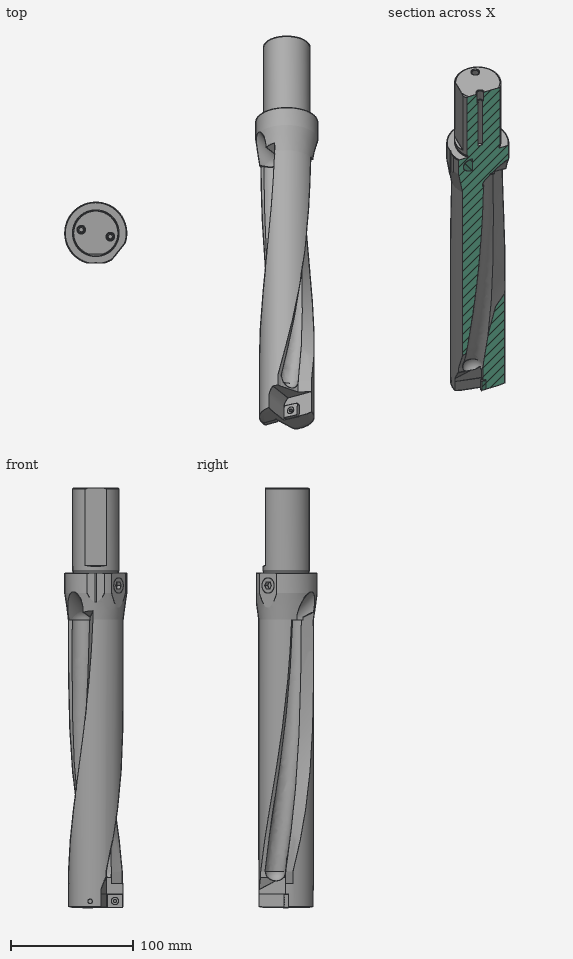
import cadquery as cq
import math

TOTAL_LENGTH = 343.38
SHANK_LENGTH = 69.5
SHANK_RADIUS = 19.05
SHANK_CHAMFER = 1.0
COLLAR_RADIUS = 25.4
COLLAR_LENGTH = 16.6
COLLAR_CHAMFER = 0.5
CONE_LENGTH = 21.8
BODY_RADIUS = 22.4
TIP_RIM_WIDTH = 4.0
TIP_RIM_RISE = 0.8
TIP_CLEARANCE = 0.6
RELIEF_LENGTH = 1.6
RELIEF_DEPTH = 0.5

COLLAR_TOP = TOTAL_LENGTH - SHANK_LENGTH
CONE_TOP = COLLAR_TOP - COLLAR_LENGTH
CONE_BASE = CONE_TOP - CONE_LENGTH
OUTSIDE = 2 * COLLAR_RADIUS

SHANK_FLAT_OFFSET = 16.9
SHANK_FLAT_LENGTH = 63.2
SHANK_FLAT_RAMP = 1.0

INDEX_FLAT_OFFSET = 24.4
INDEX_GROOVE_WIDTH = 1.2
INDEX_GROOVE_DEPTH = 0.5
INDEX_GROOVE_BOTTOM = CONE_TOP - CONE_LENGTH / 3
PORT_FLAT_OFFSET = 23.75
PORT_FLAT_ANGLE = 51.5
PORT_CENTER_DROP = 10.2
PLUG_RADIUS = 6.3
PLUG_DEPTH = 8.0
PLUG_SOCKET_SIZE = 6.0
PLUG_SOCKET_DEPTH = 4.0

COOLANT_PITCH_RADIUS = 12.2
COOLANT_ANGLE = 166.5
COOLANT_MOUTH_RADIUS = 3.5
COOLANT_THREAD_RADIUS = 2.8
COOLANT_THREAD_DEPTH = 10.0
COOLANT_BORE_RADIUS = 1.8
COOLANT_BORE_DEPTH = 60.0

GULLET_START = (-19.2, -2.0)
GULLET_DEEPEST = (-6.9, 0.1)
GULLET_END = (-5.0, -11.7)
GULLET_CENTER = (-11.8, -6.9)
GULLET_RADIUS = 8.4
LIP_POINT = (-26.2, 1.1)
HEEL_POINT = (-1.4, -26.0)
FLUTE_CORNER = (-26.2, -26.0)
FLUTE_BOTTOM = 30.0
FLUTE_SECTIONS = 9
FLUTE_PHASES = (0, 190)
TWIST_RATE = 0.095
TWIST_GROWTH = 0.00142
RUNOUT_TILT = 50
RUNOUT_DIRECTION = 234
RUNOUT_RADIUS = 9.6
WEDGE_START_Y = -9.0
WEDGE_RISE = 9.0

SEAT_DEPTH = 2.0
SEAT_TOP = 11.8
CHIP_SPACE_TOP = 20.0
INNER_WALL_X = 4.0
INNER_WALL_TOP_X = 0.0
INNER_WALL_BULGE = 1.0
OUTER_WALL_RIM_X = 4.1
OUTER_WALL_X = 8.7
OUTER_CHIP_FLOOR = -0.5
OUTER_CHIP_SPACE_TOP = 25.0
OUTER_SLOPE_BASE = 15.0
OUTER_SLOPE_TOP_X = 8.0

INSERT_WIDTH = 12.4
INSERT_HEIGHT = 10.8
INSERT_THICKNESS = 3.7
INSERT_CORNER = 0.8
INNER_INSERT_X = -4.6
OUTER_INSERT_X = 15.7
OUTER_INSERT_OVERHANG = 0.1
INNER_INSERT_TILT = 3
SCREW_HEAD_RADIUS = 3.0
SCREW_HEAD_HEIGHT = 2.2
SCREW_RADIUS = 1.8
SCREW_LENGTH = 11.0
SCREW_SOCKET_SIZE = 2.4
SCREW_SOCKET_DEPTH = 1.2

OUTER_INSERT_Z = TIP_CLEARANCE - OUTER_INSERT_OVERHANG + INSERT_HEIGHT / 2
TILT = math.radians(INNER_INSERT_TILT)
CORNER_REACH_X = INSERT_WIDTH / 2 - INSERT_CORNER
CORNER_REACH_Z = INSERT_HEIGHT / 2 - INSERT_CORNER
INNER_INSERT_Z = CORNER_REACH_X * math.sin(TILT) + CORNER_REACH_Z * math.cos(TILT) + INSERT_CORNER


def cylinder(radius, length, base, direction=(0, 0, 1)):
    return cq.Workplane(cq.Solid.makeCylinder(radius, length, cq.Vector(*base), cq.Vector(*direction)))


def ball(radius, center):
    return cq.Workplane(cq.Solid.makeSphere(radius, angleDegrees1=-90)).translate(center)


def box(x_range, y_range, z_range):
    size = [high - low for low, high in (x_range, y_range, z_range)]
    corner = cq.Vector(x_range[0], y_range[0], z_range[0])
    return cq.Workplane(cq.Solid.makeBox(*size, corner))


def turned_blank():
    """Shank, collar, cone and body as one turned profile."""
    relief_radius = SHANK_RADIUS - RELIEF_DEPTH
    profile = [
        (0, TIP_CLEARANCE),
        (BODY_RADIUS - TIP_RIM_WIDTH, TIP_CLEARANCE),
        (BODY_RADIUS, TIP_CLEARANCE + TIP_RIM_RISE),
        (BODY_RADIUS, CONE_BASE),
        (COLLAR_RADIUS, CONE_TOP),
        (COLLAR_RADIUS, COLLAR_TOP - COLLAR_CHAMFER),
        (COLLAR_RADIUS - COLLAR_CHAMFER, COLLAR_TOP),
        (relief_radius, COLLAR_TOP),
        (relief_radius, COLLAR_TOP + RELIEF_LENGTH),
        (SHANK_RADIUS, COLLAR_TOP + RELIEF_LENGTH),
        (SHANK_RADIUS, TOTAL_LENGTH - SHANK_CHAMFER),
        (SHANK_RADIUS - SHANK_CHAMFER, TOTAL_LENGTH),
        (0, TOTAL_LENGTH),
    ]
    return cq.Workplane("XZ").polyline(profile).close().revolve(360, (0, 0, 0), (0, 1, 0))


def shank_flat():
    """Flat on the -Y side of the shank, ending in a short ramp."""
    flat_bottom = TOTAL_LENGTH - SHANK_FLAT_LENGTH
    profile = [
        (-SHANK_FLAT_OFFSET, TOTAL_LENGTH),
        (-SHANK_FLAT_OFFSET, flat_bottom),
        (-SHANK_RADIUS, flat_bottom - SHANK_FLAT_RAMP),
        (-SHANK_RADIUS, TOTAL_LENGTH),
    ]
    return cq.Workplane("YZ").polyline(profile).close().extrude(SHANK_RADIUS, both=True)


def collar_flat(offset, angle):
    """Flat facing -Y, turned about Z by the angle."""
    cutter = box((-OUTSIDE, OUTSIDE), (-OUTSIDE, -offset), (CONE_BASE, COLLAR_TOP))
    return cutter.rotate((0, 0, 0), (0, 0, 1), angle)


def index_groove():
    half_width = INDEX_GROOVE_WIDTH / 2
    floor = INDEX_GROOVE_DEPTH - INDEX_FLAT_OFFSET
    return box((-half_width, half_width), (-OUTSIDE, floor), (INDEX_GROOVE_BOTTOM, COLLAR_TOP))


def port_plug():
    """Pipe plug that closes the side port, flush with its flat."""
    center_z = COLLAR_TOP - PORT_CENTER_DROP
    plug = cylinder(PLUG_RADIUS, PLUG_DEPTH, (0, -PORT_FLAT_OFFSET, center_z), (0, 1, 0))
    return plug.rotate((0, 0, 0), (0, 0, 1), PORT_FLAT_ANGLE)


def plug_socket():
    center_z = COLLAR_TOP - PORT_CENTER_DROP
    across_corners = PLUG_SOCKET_SIZE / math.cos(math.pi / 6)
    plane = cq.Plane((0, -PORT_FLAT_OFFSET, center_z), (1, 0, 0), (0, 1, 0))
    socket = cq.Workplane(plane).polygon(6, across_corners).extrude(PLUG_SOCKET_DEPTH)
    return socket.rotate((0, 0, 0), (0, 0, 1), PORT_FLAT_ANGLE)


def coolant_inlet(angle):
    """Countersunk, threaded inlet that narrows to a coolant bore."""
    mouth_depth = COOLANT_MOUTH_RADIUS - COOLANT_THREAD_RADIUS
    profile = [
        (0, 0),
        (COOLANT_MOUTH_RADIUS, 0),
        (COOLANT_THREAD_RADIUS, -mouth_depth),
        (COOLANT_THREAD_RADIUS, -COOLANT_THREAD_DEPTH),
        (COOLANT_BORE_RADIUS, -COOLANT_THREAD_DEPTH),
        (COOLANT_BORE_RADIUS, -COOLANT_BORE_DEPTH),
        (0, -COOLANT_BORE_DEPTH),
    ]
    inlet = cq.Workplane("XZ").polyline(profile).close().revolve(360, (0, 0, 0), (0, 1, 0))
    inlet = inlet.translate((COOLANT_PITCH_RADIUS, 0, TOTAL_LENGTH))
    return inlet.rotate((0, 0, 0), (0, 0, 1), angle)


def twist_at(z):
    """Angle the flute has turned, in degrees; its lead tightens towards the tip."""
    run = CONE_BASE - z
    return -(TWIST_RATE * run + TWIST_GROWTH * run**2)


def rotate_point(point, angle, z):
    x, y = point
    turn = math.radians(angle)
    return cq.Vector(x * math.cos(turn) - y * math.sin(turn), x * math.sin(turn) + y * math.cos(turn), z)


def flute_section(z):
    outline = (GULLET_START, GULLET_DEEPEST, GULLET_END, HEEL_POINT, FLUTE_CORNER, LIP_POINT)
    start, deepest, end, heel, corner, lip = [rotate_point(point, twist_at(z), z) for point in outline]
    edges = [
        cq.Edge.makeThreePointArc(start, deepest, end),
        cq.Edge.makeLine(end, heel),
        cq.Edge.makeLine(heel, corner),
        cq.Edge.makeLine(corner, lip),
        cq.Edge.makeLine(lip, start),
    ]
    return cq.Wire.assembleEdges(edges)


def flute():
    """Twisted flute without its ends."""
    step = (CONE_BASE - FLUTE_BOTTOM) / (FLUTE_SECTIONS - 1)
    sections = [flute_section(FLUTE_BOTTOM + step * index) for index in range(FLUTE_SECTIONS)]
    return cq.Workplane(cq.Solid.makeLoft(sections))


def flute_runout():
    """Ball-ended gullet that leans outwards through the collar cone."""
    tilt = math.radians(RUNOUT_TILT)
    heading = math.radians(RUNOUT_DIRECTION)
    direction = (math.sin(tilt) * math.cos(heading), math.sin(tilt) * math.sin(heading), math.cos(tilt))
    bore = cylinder(RUNOUT_RADIUS, OUTSIDE, (*GULLET_CENTER, CONE_BASE), direction)
    bore = bore.union(ball(RUNOUT_RADIUS, cq.Vector(*GULLET_CENTER, CONE_BASE)))
    bore = bore.intersect(box((-OUTSIDE, OUTSIDE), (-OUTSIDE, OUTSIDE), (CONE_BASE, COLLAR_TOP)))
    profile = [
        (WEDGE_START_Y, CONE_BASE),
        (HEEL_POINT[1], CONE_BASE),
        (HEEL_POINT[1], CONE_BASE + WEDGE_RISE),
    ]
    wedge = cq.Workplane("YZ").polyline(profile).close().extrude(-OUTSIDE)
    section = cq.Workplane(cq.Solid.extrudeLinear(flute_section(CONE_BASE), [], cq.Vector(0, 0, CONE_LENGTH)))
    return [bore, wedge.intersect(section)]


def flute_end():
    """Ball end of the gullet, with the shallower chip space that leads to the insert."""
    twist = twist_at(FLUTE_BOTTOM)
    ball_end = ball(GULLET_RADIUS, rotate_point(GULLET_CENTER, twist, FLUTE_BOTTOM))
    outline = (GULLET_START, GULLET_END, HEEL_POINT, FLUTE_CORNER, LIP_POINT)
    chip_space = cq.Workplane("XY", origin=(0, 0, CHIP_SPACE_TOP)).polyline(outline).close()
    chip_space = chip_space.extrude(FLUTE_BOTTOM - CHIP_SPACE_TOP).rotate((0, 0, 0), (0, 0, 1), twist)
    return [ball_end, chip_space]


def inner_pocket():
    """Seat and chip space of the central insert, open to -X and +Y."""
    arc_middle = (
        (INNER_WALL_X + INNER_WALL_TOP_X) / 2 + INNER_WALL_BULGE,
        (SEAT_TOP + CHIP_SPACE_TOP) / 2,
    )
    profile = (
        cq.Workplane("XZ", origin=(0, -SEAT_DEPTH, 0))
        .moveTo(-BODY_RADIUS, 0)
        .lineTo(INNER_WALL_X, 0)
        .lineTo(INNER_WALL_X, SEAT_TOP)
        .threePointArc(arc_middle, (INNER_WALL_TOP_X, CHIP_SPACE_TOP))
        .lineTo(-BODY_RADIUS, CHIP_SPACE_TOP)
        .close()
    )
    return profile.extrude(-OUTSIDE)


def outer_pocket():
    """Seat and chip space of the peripheral insert, open to +X and -Y."""

    def pocket(floor, bottom, top):
        profile = [
            (OUTER_WALL_RIM_X, -BODY_RADIUS),
            (OUTER_WALL_X, floor),
            (BODY_RADIUS, floor),
            (BODY_RADIUS, -BODY_RADIUS),
        ]
        return cq.Workplane("XY", origin=(0, 0, bottom)).polyline(profile).close().extrude(top - bottom)

    slope = [
        (OUTER_WALL_RIM_X, SEAT_TOP),
        (OUTER_WALL_RIM_X, OUTER_SLOPE_BASE),
        (OUTER_SLOPE_TOP_X, OUTER_CHIP_SPACE_TOP),
        (BODY_RADIUS, OUTER_CHIP_SPACE_TOP),
        (BODY_RADIUS, SEAT_TOP),
    ]
    sloped_block = cq.Workplane("XZ").polyline(slope).close().extrude(OUTSIDE, both=True)
    chip_space = pocket(OUTER_CHIP_FLOOR, SEAT_TOP, OUTER_CHIP_SPACE_TOP).intersect(sloped_block)
    return [pocket(SEAT_DEPTH, 0, SEAT_TOP), chip_space]


def screw_blank():
    """Countersunk screw along +Y, with the centre of its head face at the origin."""
    profile = [
        (0, 0),
        (SCREW_HEAD_RADIUS, 0),
        (SCREW_RADIUS, SCREW_HEAD_HEIGHT),
        (SCREW_RADIUS, SCREW_LENGTH),
        (0, SCREW_LENGTH),
    ]
    return cq.Workplane("XY").polyline(profile).close().revolve(360, (0, 0, 0), (0, 1, 0))


def screw():
    across_corners = SCREW_SOCKET_SIZE / math.cos(math.pi / 6)
    socket = cq.Workplane("XZ").polygon(6, across_corners).extrude(-SCREW_SOCKET_DEPTH)
    return screw_blank().cut(socket)


def insert():
    """Insert with its rake face towards -Y and centred on the origin."""
    plate = cq.Workplane("XZ").rect(INSERT_WIDTH, INSERT_HEIGHT).extrude(-INSERT_THICKNESS)
    return plate.edges("|Y").fillet(INSERT_CORNER).cut(screw_blank())


def seat_outer(shape):
    return shape.translate((OUTER_INSERT_X, SEAT_DEPTH - INSERT_THICKNESS, OUTER_INSERT_Z))


def seat_inner(shape):
    facing_back = shape.rotate((0, 0, 0), (0, 0, 1), 180)
    tilted = facing_back.rotate((0, 0, 0), (0, 1, 0), -INNER_INSERT_TILT)
    return tilted.translate((INNER_INSERT_X, INSERT_THICKNESS - SEAT_DEPTH, INNER_INSERT_Z))


def drill_body():
    cutters = [
        shank_flat(),
        collar_flat(INDEX_FLAT_OFFSET, 0),
        collar_flat(PORT_FLAT_OFFSET, PORT_FLAT_ANGLE),
        index_groove(),
        port_plug(),
        coolant_inlet(COOLANT_ANGLE),
        coolant_inlet(COOLANT_ANGLE + 180),
    ]
    for phase in FLUTE_PHASES:
        for cutter in [flute(), *flute_runout(), *flute_end()]:
            cutters.append(cutter.rotate((0, 0, 0), (0, 0, 1), phase))
    cutters += [inner_pocket(), *outer_pocket()]
    inner_hole = cylinder(SCREW_RADIUS, OUTSIDE, (0, 0, 0), (0, 1, 0))
    cutters += [seat_inner(inner_hole), seat_outer(screw_blank())]
    body = turned_blank()
    for cutter in cutters:
        body = body.cut(cutter)
    return body


body = drill_body()
plug = port_plug().cut(plug_socket())
bodies = [body.solids().val(), plug.solids().val()]
for seat in (seat_inner, seat_outer):
    bodies.append(seat(insert()).solids().val())
    bodies.append(seat(screw()).solids().val())

result = cq.Compound.makeCompound(bodies)